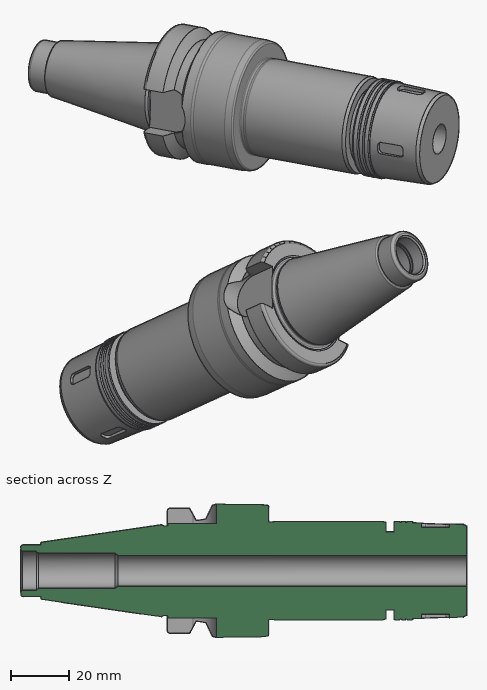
import cadquery as cq
import math


ring_tolerance = 1e-4

shank_start = -48.4
pilot_diameter = 18.0
pilot_fillet = 1.0
taper_start = -41.5
taper_start_fillet = 0.5
gauge_diameter = 31.75
taper_ratio = 7 / 24
taper_start_diameter = gauge_diameter + taper_ratio * taper_start
relief_diameter = 30.8
relief_start = 0.95
relief_fillet_start = 1.5

flange_diameter = 46.0
flange_start = 2.0
flange_end = 22.0
flange_fillet = 1.0
recess_diameter = 33.6
recess_rim_diameter = 34.7
recess_depth = 0.2
recess_floor = flange_start + recess_depth
vee_center = 13.6
vee_floor_diameter = 38.2
vee_floor_width = 3.3
vee_half_angle = 30
drive_slot_count = 2
drive_slot_width = 16.1
drive_slot_floor = 16.3
drive_slot_end = 18.9

seam_width = 1.0
collar_diameter = 45.7
collar_end = 36.9
collar_fillet = 0.6
collar_rear_diameter = 45.0
collar_taper_start = 33.9

barrel_diameter = 34.0
barrel_root_diameter = 33.6
barrel_root_fillet = 0.3
barrel_root_end = 38.15
barrel_start = 39.0
barrel_end = 77.2
barrel_chamfer_length = 1.2
barrel_end_diameter = 33.2
neck_diameter = 27.0

nut_start = 79.9
nut_diameter = 34.0
nut_chamfer_length = 0.45
nut_chamfer_depth = 0.2
rim_end = 86.45
nut_groove_centers = (82.2, 84.2)
nut_groove_width = 0.8
nut_groove_depth = 0.4
skirt_front_diameter = 33.1
skirt_end = 103.8
skirt_end_diameter = 32.0
nose_end = 105.0
nose_diameter = 30.8

spanner_slot_count = 4
spanner_slot_center = 94.2
spanner_slot_length = 9.6
spanner_slot_width = 4.3
spanner_slot_corner = 1.4
spanner_slot_floor = 15.0

bore_diameter = 10.5
mouth_diameter = 14.5
mouth_chamfer = 0.6
pilot_bore_diameter = 13.3
pilot_bore_end = -43.0
socket_diameter = 12.5
socket_end = -42.2
thread_diameter = 12.0
thread_end = -16.0
thread_runout = 1.0


def revolve_profile(points):
    """Revolve a closed (x, radius) polygon about the X axis."""
    profile = cq.Workplane("XY").polyline(points).close()
    return profile.revolve(360, (0, 0, 0), (1, 0, 0))


def round_ring(body, x, diameter, fillet):
    """Fillet the circular edge of the given diameter at station x."""
    rings = body.edges("%CIRCLE").filter(
        lambda edge: math.isclose(edge.radius(), diameter / 2, abs_tol=ring_tolerance)
        and math.isclose(edge.Center().x, x, abs_tol=ring_tolerance)
    )
    return rings.fillet(fillet)


def outer_body():
    """Turn the outside as (x, diameter) stations from shank to nose, then round its edges."""
    vee_depth = (flange_diameter - vee_floor_diameter) / 2
    vee_half_floor = vee_floor_width / 2
    vee_half_top = vee_half_floor + vee_depth * math.tan(math.radians(vee_half_angle))
    relief_fillet = recess_floor - relief_fillet_start
    stations = [
        (shank_start, 0),
        (shank_start, pilot_diameter),
        (taper_start, pilot_diameter),
        (taper_start, taper_start_diameter),
        (0, gauge_diameter),
        (relief_start, relief_diameter),
        (recess_floor, relief_diameter),
        (recess_floor, recess_diameter),
        (flange_start, recess_rim_diameter),
        (flange_start, flange_diameter),
        (vee_center - vee_half_top, flange_diameter),
        (vee_center - vee_half_floor, vee_floor_diameter),
        (vee_center + vee_half_floor, vee_floor_diameter),
        (vee_center + vee_half_top, flange_diameter),
        (flange_end - seam_width, flange_diameter),
        (flange_end, collar_diameter),
        (collar_taper_start, collar_diameter),
        (collar_end, collar_rear_diameter),
        (collar_end, barrel_root_diameter),
        (barrel_root_end, barrel_root_diameter),
        (barrel_start, barrel_diameter),
        (barrel_end - barrel_chamfer_length, barrel_diameter),
        (barrel_end, barrel_end_diameter),
        (barrel_end, neck_diameter),
        (nut_start, neck_diameter),
        (nut_start, nut_diameter - 2 * nut_chamfer_depth),
        (nut_start + nut_chamfer_length, nut_diameter),
        (rim_end - nut_chamfer_length, nut_diameter),
        (rim_end, nut_diameter - 2 * nut_chamfer_depth),
        (rim_end, skirt_front_diameter),
        (skirt_end, skirt_end_diameter),
        (nose_end, nose_diameter),
        (nose_end, 0),
    ]
    body = revolve_profile([(x, diameter / 2) for x, diameter in stations])
    for x, diameter, fillet in (
        (shank_start, pilot_diameter, pilot_fillet),
        (taper_start, taper_start_diameter, taper_start_fillet),
        (recess_floor, relief_diameter, relief_fillet),
        (flange_start, flange_diameter, flange_fillet),
        (collar_end, collar_rear_diameter, collar_fillet),
        (collar_end, barrel_root_diameter, barrel_root_fillet),
    ):
        body = round_ring(body, x, diameter, fillet)
    return body


def nut_groove(center):
    """Make the cutter for one shallow V-groove around the nut rim."""
    outer = nut_diameter / 2
    half_width = nut_groove_width / 2
    return revolve_profile([
        (center - half_width, outer),
        (center, outer - nut_groove_depth),
        (center + half_width, outer),
    ])


def drive_slot():
    """Make the cutter for one drive slot on the -Y side, with a round inner end."""
    radius = drive_slot_width / 2
    arc_center = drive_slot_end - radius
    depth = flange_diameter / 2
    return (
        cq.Workplane("XZ", origin=(0, -drive_slot_floor, 0))
        .moveTo(flange_start, -radius)
        .lineTo(arc_center, -radius)
        .threePointArc((drive_slot_end, 0), (arc_center, radius))
        .lineTo(flange_start, radius)
        .close()
        .extrude(depth)
    )


def spanner_slot():
    """Make the cutter for one spanner slot on the +Z side of the nut."""
    return (
        cq.Workplane("XY", origin=(spanner_slot_center, 0, spanner_slot_floor))
        .rect(spanner_slot_length, spanner_slot_width)
        .extrude(nut_diameter)
        .edges("|Z")
        .fillet(spanner_slot_corner)
    )


def bore():
    """Make the cutter for the stepped through bore, widest at the shank end."""
    stations = [
        (shank_start, 0),
        (shank_start, mouth_diameter),
        (shank_start + mouth_chamfer, pilot_bore_diameter),
        (pilot_bore_end, pilot_bore_diameter),
        (pilot_bore_end, socket_diameter),
        (socket_end, socket_diameter),
        (socket_end, thread_diameter),
        (thread_end, thread_diameter),
        (thread_end + thread_runout, bore_diameter),
        (nose_end, bore_diameter),
        (nose_end, 0),
    ]
    return revolve_profile([(x, diameter / 2) for x, diameter in stations])


result = outer_body()
for groove_center in nut_groove_centers:
    result = result.cut(nut_groove(groove_center))
for index in range(drive_slot_count):
    angle = 360 / drive_slot_count * index
    result = result.cut(drive_slot().rotate((0, 0, 0), (1, 0, 0), angle))
for index in range(spanner_slot_count):
    angle = 360 / spanner_slot_count * index
    result = result.cut(spanner_slot().rotate((0, 0, 0), (1, 0, 0), angle))
result = result.cut(bore())